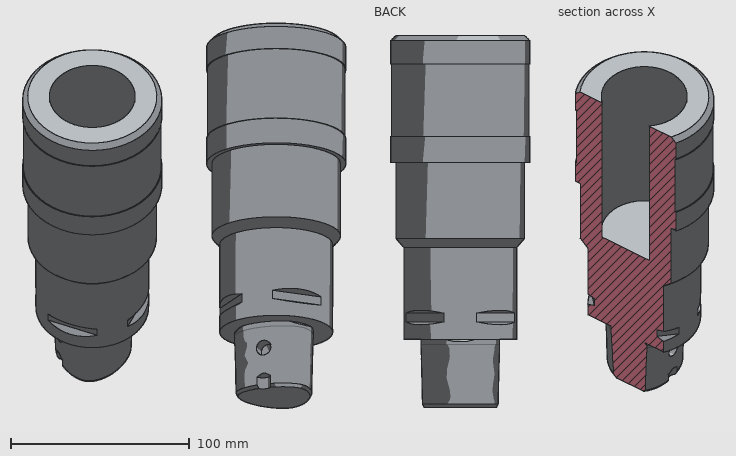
import cadquery as cq
import math

total_height = 208.0
flange_height = 38.0
lower_radius = 31.6
cone_start = 89.5
cone_end = 94.5
middle_radius = 36.0
lower_band = (136.9, 151.5)
upper_band_start = 192.2
band_radius = 39.0
sleeve_radius = 38.5
top_chamfer = 3.0

bore_diameter = 48.0
bore_depth = 104.0

shank_radius = 22.0
shank_tip_radius = 21.2
lobe_height = 1.5
shoulder_height = 35.2
relief_height = 1.2
relief_outer_radius = 23.3
relief_inner_radius = 22.3
tip_chamfer_height = 1.9
tip_chamfer_inset = 1.0
profile_points = 48

pocket_count = 4
pocket_height = 50.3
pocket_floor_distance = 27.9
pocket_floor_width = 4.8
pocket_flare = 1.7

hole_diameter = 8.5
hole_height = 23.0
hole_depth = 8.3
drill_tip_angle = 118.0
notch_diameter = 8.7
notch_height = 6.5
notch_axis_distance = shank_tip_radius
flat_distance = shank_radius - lobe_height


def lobed_outline(radius):
    """Closed three-lobed curve whose distance to its tangent is radius + lobe * cos(3t)."""
    points = []
    for i in range(profile_points):
        t = 2 * math.pi * i / profile_points
        x = radius * math.sin(t) - lobe_height * (2 * math.sin(2 * t) + math.sin(4 * t))
        y = radius * math.cos(t) + lobe_height * (2 * math.cos(2 * t) - math.cos(4 * t))
        points.append((x, y))
    return points


def lobed_section(bottom, top, bottom_radius, top_radius):
    return (
        cq.Workplane("XY", origin=(0, 0, bottom))
        .spline(lobed_outline(bottom_radius), periodic=True).close()
        .workplane(offset=top - bottom)
        .spline(lobed_outline(top_radius), periodic=True).close()
        .loft(ruled=True)
    )


def make_body():
    outline = [
        (0, flange_height),
        (lower_radius, flange_height),
        (lower_radius, cone_start),
        (middle_radius, cone_end),
        (middle_radius, lower_band[0]),
        (band_radius, lower_band[0]),
        (band_radius, lower_band[1]),
        (sleeve_radius, lower_band[1]),
        (sleeve_radius, upper_band_start),
        (band_radius, upper_band_start),
        (band_radius, total_height - top_chamfer),
        (band_radius - top_chamfer, total_height),
        (0, total_height),
    ]
    body = cq.Workplane("XZ").polyline(outline).close().revolve(360, (0, 0, 0), (0, 1, 0))
    return body.faces(">Z").workplane().hole(bore_diameter, bore_depth)


def make_shank():
    tip = lobed_section(0, tip_chamfer_height, shank_tip_radius - tip_chamfer_inset, shank_tip_radius)
    taper = lobed_section(tip_chamfer_height, shoulder_height, shank_tip_radius, shank_radius)
    neck = lobed_section(shoulder_height, flange_height, shank_radius, shank_radius)
    return tip.union(taper).union(neck).cut(make_lobe_relief())


def make_lobe_relief():
    """Ring with a conical inner face that trims the lobe crests just below the flange."""
    section = [
        (relief_outer_radius, flange_height - relief_height),
        (relief_inner_radius, flange_height),
        (lower_radius, flange_height),
        (lower_radius, flange_height - relief_height),
    ]
    return cq.Workplane("XZ").polyline(section).close().revolve(360, (0, 0, 0), (0, 1, 0))


def make_pocket():
    """Flat-bottomed pocket with flaring walls, open toward +X."""
    depth = lower_radius - pocket_floor_distance
    half_floor = pocket_floor_width / 2
    half_open = half_floor + 2 * pocket_flare
    outer = pocket_floor_distance + 2 * depth
    section = [
        (pocket_floor_distance, pocket_height - half_floor),
        (outer, pocket_height - half_open),
        (outer, pocket_height + half_open),
        (pocket_floor_distance, pocket_height + half_floor),
    ]
    return cq.Workplane("XZ").polyline(section).close().extrude(lower_radius, both=True)


def drill(plane, origin, diameter, depth):
    """Round cutter with a pointed end, revolved about the local Y axis of the given plane."""
    radius = diameter / 2
    tip_length = radius / math.tan(math.radians(drill_tip_angle / 2))
    outline = [
        (0, 0),
        (radius, 0),
        (radius, depth),
        (0, depth + tip_length),
    ]
    return cq.Workplane(plane, origin=origin).polyline(outline).close().revolve(360, (0, 0, 0), (0, 1, 0))


def make_hole():
    """Radial hole bored inward from outside the shank."""
    start = shank_radius + lobe_height
    full_depth = hole_depth + start - flat_distance
    return drill("XY", (0, -start, hole_height), hole_diameter, full_depth)


def make_notch():
    """Rounded key notch drilled upward from the tip along the edge of the shank."""
    return drill("XZ", (0, -notch_axis_distance, 0), notch_diameter, notch_height)


result = make_body().union(make_shank())
for i in range(pocket_count):
    angle = 360 / pocket_count * (i + 0.5)
    result = result.cut(make_pocket().rotate((0, 0, 0), (0, 0, 1), angle))
result = result.cut(make_hole()).cut(make_notch())